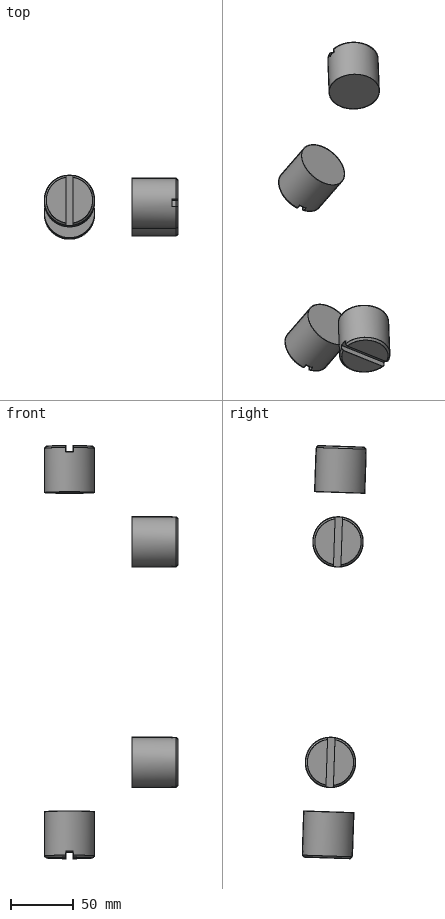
import cadquery as cq

plug_diameter = 40.0
plug_length = 36.8
edge_chamfer = 1.5
slot_width = 6.0
slot_depth = 5.0

outer_span = 327.8
lying_spacing = 175.5
overall_width = 106.5
tilt_angle = -1.95

upright_x = (plug_diameter - overall_width) / 2
lying_x = overall_width / 2 - plug_length


def make_slotted_plug(plane):
    """Cylinder on the plane, chamfered and slotted on the far end.

    The slot runs along the local Y direction of the plane.
    """
    plug = (
        cq.Workplane(plane)
        .circle(plug_diameter / 2)
        .extrude(plug_length)
        .faces(cq.selectors.DirectionMinMaxSelector(plane.zDir, True))
        .chamfer(edge_chamfer)
    )
    slot_cutter = (
        cq.Workplane(plane)
        .workplane(offset=plug_length - slot_depth)
        .rect(slot_width, plug_diameter)
        .extrude(slot_depth)
    )
    return plug.cut(slot_cutter)


def tilt(body):
    """Lean a body with the whole set about the X axis."""
    return body.rotate((0, 0, 0), (1, 0, 0), tilt_angle)


upright_plugs = []
lying_plugs = []
for side in (1, -1):
    inner_end_z = side * (outer_span / 2 - plug_length)
    upright_plane = cq.Plane((upright_x, 0, inner_end_z), xDir=(1, 0, 0), normal=(0, 0, side))
    upright_plugs.append(tilt(make_slotted_plug(upright_plane)).val())

    axis_z = side * lying_spacing / 2
    lying_plane = cq.Plane((lying_x, 0, axis_z), xDir=(0, 1, 0), normal=(1, 0, 0))
    lying_plugs.append(tilt(make_slotted_plug(lying_plane)).val())

result = cq.Compound.makeCompound([*upright_plugs, *lying_plugs])